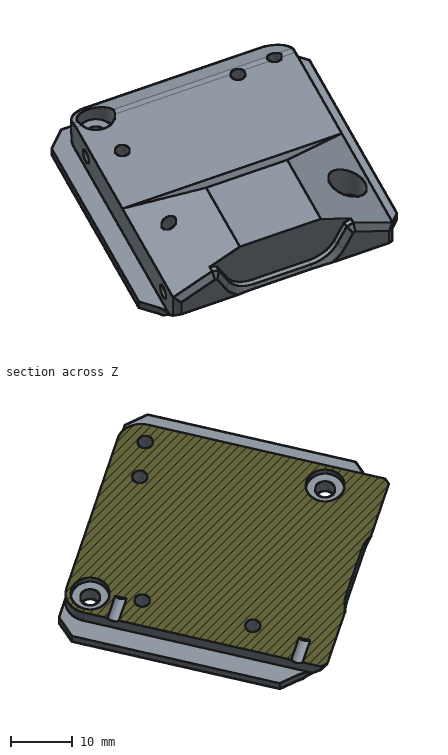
import cadquery as cq
import math

LENGTH = 45.0
FLANGE_WIDTH = 45.8
HEIGHT = 13.5
BODY_WIDTH = 38.95
DECK_HEIGHT = 7.65
FLANGE_THICKNESS = 1.6

CORNER_RADIUS = 4.0
NOSE_HEIGHT = 5.1
NOSE_ANGLE = 30.0
NOSE_BLEND_RADIUS = 2.47

HOUSING_START = 23.7
HOUSING_TOP_WIDTH = 14.4

NOTCH_START = 43.05
NOTCH_FLOOR_HEIGHT = 4.0
NOTCH_FLOOR_WIDTH = 10.0
NOTCH_RADIUS = 5.1
NOTCH_LIP = 0.9
END_CHAMFER = 1.0
UNDERCUT = 3.95

FLANGE_FRONT_CHAMFER = 3.0
FLANGE_REAR_END = 38.05
FLANGE_BLEND_RADIUS = 3.5

PIN_HOLE_DIAMETER = 2.4
PIN_HOLES = [(4.55, 16.0), (5.55, 9.05), (12.55, -14.55), (31.2, -14.55)]
SCREW_HOLE_DIAMETER = 3.2
SCREW_HEAD_DIAMETER = 6.25
SCREW_SEAT_HEIGHT = 2.8
SCREW_HOLES = [(4.05, -15.5), (35.0, 15.5)]
SIDE_HOLE_DIAMETER = 2.4
SIDE_HOLE_DEPTH = 4.6
SIDE_HOLE_HEIGHT = 4.6
SIDE_HOLES_X = [9.0, 40.0]

half_body = BODY_WIDTH / 2
half_flange = FLANGE_WIDTH / 2
half_top = HOUSING_TOP_WIDTH / 2
housing_slope = math.atan2(HEIGHT - DECK_HEIGHT, half_body - half_top)


def housing_side_height(y):
    """Height of the sloped housing side at a distance y from the centre plane."""
    return DECK_HEIGHT + (half_body - y) * math.tan(housing_slope)


def make_base():
    """Flat block with rounded front corners and a sloped nose blended into the deck."""
    base = cq.Workplane("XY").box(LENGTH, BODY_WIDTH, DECK_HEIGHT, centered=(False, True, False))
    base = base.edges("|Z and <X").fillet(CORNER_RADIUS)
    nose_length = (DECK_HEIGHT - NOSE_HEIGHT) / math.tan(math.radians(NOSE_ANGLE))
    side = (
        cq.Workplane("XZ")
        .polyline([
            (0, 0),
            (LENGTH, 0),
            (LENGTH, DECK_HEIGHT),
            (nose_length, DECK_HEIGHT),
            (0, NOSE_HEIGHT),
        ])
        .close()
        .extrude(half_body, both=True)
        .edges(cq.selectors.NearestToPointSelector((nose_length, 0, DECK_HEIGHT)))
        .fillet(NOSE_BLEND_RADIUS)
    )
    return base.intersect(side)


def make_housing():
    """Raised housing with sloped sides and a 45 degree front face."""
    housing = (
        cq.Workplane("YZ", origin=(HOUSING_START, 0, 0))
        .polyline([
            (-half_body, 0),
            (half_body, 0),
            (half_body, DECK_HEIGHT),
            (half_top, HEIGHT),
            (-half_top, HEIGHT),
            (-half_body, DECK_HEIGHT),
        ])
        .close()
        .extrude(LENGTH - HOUSING_START)
    )
    rise = HEIGHT - DECK_HEIGHT
    front_waste = (
        cq.Workplane("XZ")
        .polyline([
            (HOUSING_START, DECK_HEIGHT),
            (HOUSING_START + rise, HEIGHT),
            (HOUSING_START, HEIGHT),
        ])
        .close()
        .extrude(half_body, both=True)
    )
    return housing.cut(front_waste)


def make_notch():
    """Rear notch: flat floor, round corners, walls square to the housing sides, bevelled lips."""
    wall_angle = math.pi / 2 - housing_slope
    half_floor = NOTCH_FLOOR_WIDTH / 2
    arc_y = half_floor + NOTCH_RADIUS * math.sin(wall_angle)
    arc_z = NOTCH_FLOOR_HEIGHT + NOTCH_RADIUS * (1 - math.cos(wall_angle))
    mid_y = half_floor + NOTCH_RADIUS * math.sin(wall_angle / 2)
    mid_z = NOTCH_FLOOR_HEIGHT + NOTCH_RADIUS * (1 - math.cos(wall_angle / 2))

    wall_length = (housing_side_height(arc_y) - arc_z) * math.cos(housing_slope)
    lip_wall = wall_length - NOTCH_LIP
    lip_y = arc_y + lip_wall * math.cos(wall_angle)
    lip_z = arc_z + lip_wall * math.sin(wall_angle)
    rim_y = arc_y + wall_length * math.cos(wall_angle) + NOTCH_LIP * math.cos(housing_slope)
    rim_z = housing_side_height(rim_y)

    return (
        cq.Workplane("YZ", origin=(NOTCH_START, 0, 0))
        .moveTo(-half_floor, NOTCH_FLOOR_HEIGHT)
        .lineTo(half_floor, NOTCH_FLOOR_HEIGHT)
        .threePointArc((mid_y, mid_z), (arc_y, arc_z))
        .lineTo(lip_y, lip_z)
        .lineTo(rim_y, rim_z)
        .lineTo(rim_y, HEIGHT)
        .lineTo(-rim_y, HEIGHT)
        .lineTo(-rim_y, rim_z)
        .lineTo(-lip_y, lip_z)
        .lineTo(-arc_y, arc_z)
        .threePointArc((-mid_y, mid_z), (-half_floor, NOTCH_FLOOR_HEIGHT))
        .close()
        .extrude(LENGTH - NOTCH_START)
    )


def make_flange():
    """Thin flange along both sides, running into the body through a round at the rear."""
    rear_drop = half_flange - half_body
    corner_x = FLANGE_REAR_END + rear_drop
    flange = (
        cq.Workplane("XY")
        .polyline([
            (0, half_flange - FLANGE_FRONT_CHAMFER),
            (FLANGE_FRONT_CHAMFER, half_flange),
            (FLANGE_REAR_END, half_flange),
            (corner_x, half_body),
            (LENGTH, half_body),
            (LENGTH, 0),
            (0, 0),
        ])
        .close()
        .extrude(FLANGE_THICKNESS)
        .edges(cq.selectors.NearestToPointSelector((corner_x, half_body, FLANGE_THICKNESS / 2)))
        .fillet(FLANGE_BLEND_RADIUS)
    )
    return flange.union(flange.mirror("XZ"))


def make_undercut():
    """Wedge that bevels the lower rear edge at 45 degrees."""
    return (
        cq.Workplane("XZ")
        .polyline([(LENGTH - UNDERCUT, 0), (LENGTH, 0), (LENGTH, UNDERCUT)])
        .close()
        .extrude(half_flange, both=True)
    )


def drill_holes(part):
    """Through pin holes, counterbored screw holes and blind holes in the -Y side."""
    pins = cq.Workplane("XY").pushPoints(PIN_HOLES).circle(PIN_HOLE_DIAMETER / 2).extrude(HEIGHT)
    screws = cq.Workplane("XY").pushPoints(SCREW_HOLES).circle(SCREW_HOLE_DIAMETER / 2).extrude(HEIGHT)
    heads = (
        cq.Workplane("XY", origin=(0, 0, SCREW_SEAT_HEIGHT))
        .pushPoints(SCREW_HOLES)
        .circle(SCREW_HEAD_DIAMETER / 2)
        .extrude(HEIGHT)
    )
    side_holes = (
        cq.Workplane("XZ", origin=(0, -half_body, 0))
        .pushPoints([(x, SIDE_HOLE_HEIGHT) for x in SIDE_HOLES_X])
        .circle(SIDE_HOLE_DIAMETER / 2)
        .extrude(-SIDE_HOLE_DEPTH)
    )
    return part.cut(pins).cut(screws).cut(heads).cut(side_holes)


body = make_base().union(make_housing()).cut(make_notch())
body = body.faces(">X").edges("not <Z").chamfer(END_CHAMFER)
result = drill_holes(body.union(make_flange()).cut(make_undercut()))